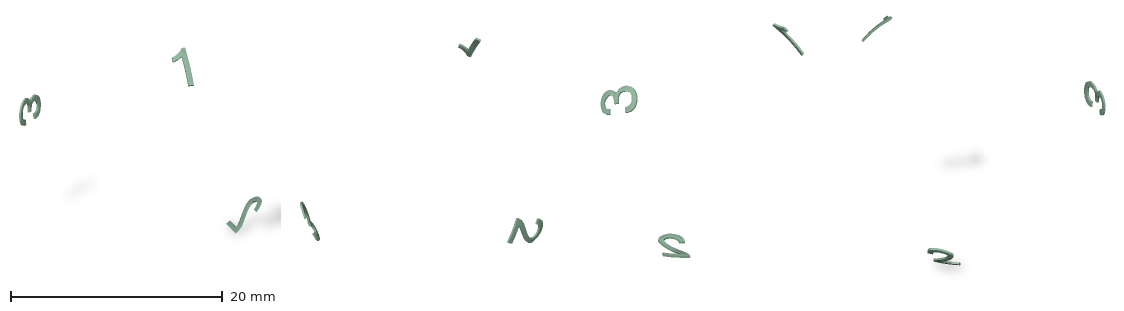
import cadquery as cq

OUTER_RADIUS = 13.31
THICKNESS = 0.2
INNER_RADIUS = OUTER_RADIUS - THICKNESS
CUT_START = 0.9 * INNER_RADIUS
CUT_LENGTH = 0.2 * OUTER_RADIUS

STROKE = 0.54
BAR = 0.5
HALF_HEIGHT = 2.0

RIGHT = (1, 0)
LEFT = (-1, 0)
UP = (0, 1)
DOWN = (0, -1)


def shell():
    """Full spherical shell from which every numeral is cut."""
    return cq.Workplane("XY").sphere(OUTER_RADIUS).cut(cq.Workplane("XY").sphere(INNER_RADIUS))


def numeral_plane(reading_direction, normal):
    """Plane whose x axis is the reading direction and whose normal points out of the shell."""
    return cq.Workplane(cq.Plane(origin=(0, 0, 0), xDir=reading_direction, normal=normal)).workplane(
        offset=CUT_START
    )


def cut_from_shell(outline):
    """Extrude a closed outline through the shell and keep the common piece."""
    return shell().intersect(outline.extrude(CUT_LENGTH))


def numeral_one():
    """Stem with a curved flag, facing +X+Z."""
    stem_right = 0.8
    stem_left = stem_right - STROKE
    peak_left = 0.43
    flag_left = -0.73
    flag_top = 1.05
    flag_bottom = 0.55
    flag_joint = 1.1
    flag_upper_bend = (0.0, 1.45)
    flag_lower_bend = (-0.2, 0.77)
    outline = (
        numeral_plane((0, 1, 0), (1, 0, 1))
        .moveTo(stem_left, -HALF_HEIGHT)
        .lineTo(stem_right, -HALF_HEIGHT)
        .lineTo(stem_right, HALF_HEIGHT)
        .lineTo(peak_left, HALF_HEIGHT)
        .threePointArc(flag_upper_bend, (flag_left, flag_top))
        .lineTo(flag_left, flag_bottom)
        .threePointArc(flag_lower_bend, (stem_left, flag_joint))
        .close()
    )
    return cut_from_shell(outline)


def numeral_two():
    """Hooked arch, diagonal and flat base, facing +Y-Z."""
    half_width = 1.3
    base_top = -HALF_HEIGHT + BAR
    inner_corner = -0.65
    arch_center = 0.05
    arch_top = 2.02
    arch_height = 0.99
    hook_end = 0.82
    hook_left = -1.25
    diagonal_level = -0.5
    diagonal_right = 0.43
    diagonal_left = -0.25
    outline = (
        numeral_plane((-1, 0, 0), (0, 1, -1))
        .moveTo(-half_width, -HALF_HEIGHT)
        .lineTo(half_width, -HALF_HEIGHT)
        .lineTo(half_width, base_top)
        .lineTo(inner_corner, base_top)
        .spline(
            [
                (diagonal_right, diagonal_level),
                (half_width, arch_height),
                (arch_center, arch_top),
                (hook_left, hook_end),
            ],
            tangents=[(1, 1), (1, 1), UP, LEFT, DOWN],
            includeCurrent=True,
        )
        .lineTo(hook_left + STROKE, hook_end)
        .spline(
            [
                (arch_center, arch_top - BAR),
                (half_width - STROKE, arch_height),
                (diagonal_left, diagonal_level),
                (-half_width, -HALF_HEIGHT),
            ],
            tangents=[UP, RIGHT, DOWN, (-1, -0.9), DOWN],
            includeCurrent=True,
        )
        .close()
    )
    return cut_from_shell(outline)


def numeral_three():
    """Two open lobes joined by a short middle bar, facing -X-Y."""
    round_top = 2.05
    round_bottom = 2.0
    upper_right = 1.14
    upper_middle = 1.05
    upper_end = 1.0
    lower_right = 1.3
    lower_middle = -0.77
    lobe_center = -0.02
    upper_left = -1.25
    lower_left = -1.3
    bar_left = -0.32
    bar_bottom = 0.0
    bar_top = 0.43
    bar_curve_start = 0.0
    waist = (0.67, 0.25)
    upper_stroke = 0.43
    upper_shoulder = (0.8, 1.74)
    lower_shoulder = (0.92, -1.65)
    lower_inner_shoulder = (0.54, -1.33)
    outline = (
        numeral_plane((0, 0, 1), (-1, -1, 0))
        .moveTo(upper_left, upper_end)
        .spline(
            [(lobe_center, round_top), upper_shoulder, (upper_right, upper_middle), waist],
            tangents=[UP, RIGHT, (1, -0.9), DOWN, (-1, -0.7)],
            includeCurrent=True,
        )
        .spline(
            [
                (lower_right, lower_middle),
                lower_shoulder,
                (lobe_center, -round_bottom),
                (lower_left, lower_middle),
            ],
            tangents=[(1, -0.6), DOWN, (-1, -0.9), LEFT, UP],
            includeCurrent=True,
        )
        .lineTo(lower_left + STROKE, lower_middle)
        .spline(
            [
                (lobe_center, -round_bottom + BAR),
                lower_inner_shoulder,
                (lower_right - STROKE, lower_middle),
                (bar_curve_start, bar_bottom),
            ],
            tangents=[DOWN, RIGHT, (1, 1), UP, LEFT],
            includeCurrent=True,
        )
        .lineTo(bar_left, bar_bottom)
        .lineTo(bar_left, bar_top)
        .spline(
            [
                (upper_right - STROKE, upper_middle),
                (lobe_center, round_top - upper_stroke),
                (upper_left + STROKE, upper_end),
            ],
            tangents=[RIGHT, UP, LEFT, DOWN],
            includeCurrent=True,
        )
        .close()
    )
    return cut_from_shell(outline)


one = numeral_one()
two = numeral_two()
three = numeral_three()

result = cq.Compound.makeCompound([*one.vals(), *two.vals(), *three.vals()])